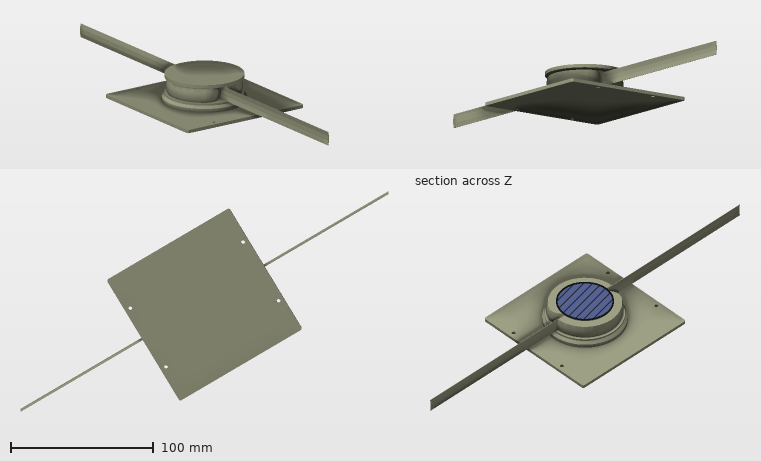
import cadquery as cq
import math

plate_side = 100.0
plate_thickness = 2.5
corner_radius = 1.5
hole_diameter = 2.8
hole_offset_x = 46.0
hole_offset_y = 24.3

flange_radius = 30
cap_radius = 56.0 / 2
flange_shoulder_z = 5.0
cone_top_z = 7.0
flange_top_z = 8.5

total_height = 22.0
cap_bottom_z = 19.5
hub_radius = 40.0 / 2

total_length = 300
tape_width = 10.0
tape_thickness = 0.3
tape_bow = 0.5
tape_back_y = tape_thickness / 2

coil_radius = 27
coil_bulge = 1.0
coil_bottom_z = flange_top_z
coil_top_z = coil_bottom_z + tape_width
coil_mid_z = (coil_bottom_z + coil_top_z) / 2

turn_radius = 9.5
turn_x = math.sqrt((coil_radius - turn_radius) ** 2 - turn_radius ** 2)
turn_y = -turn_radius


def make_plate():
    plate = cq.Workplane("XY").box(plate_side, plate_side, plate_thickness, centered=(True, True, False))
    plate = plate.edges("|Z").fillet(corner_radius)
    return (
        plate.faces(">Z").workplane()
        .rect(2 * hole_offset_x, 2 * hole_offset_y, forConstruction=True)
        .vertices()
        .hole(hole_diameter)
    )


def make_flange_hub_and_cap():
    profile = [
        (0, 0),
        (flange_radius, 0),
        (flange_radius, flange_shoulder_z),
        (cap_radius, cone_top_z),
        (cap_radius, flange_top_z),
        (hub_radius, flange_top_z),
        (hub_radius, cap_bottom_z),
        (cap_radius, cap_bottom_z),
        (cap_radius, total_height),
        (0, total_height),
    ]
    return cq.Workplane("XZ").polyline(profile).close().revolve(360, (0, 0), (0, 1))


def bowed_drum(end_radius, middle_radius):
    """Round drum over the coil height whose side is a bulging arc."""
    return (
        cq.Workplane("XZ")
        .moveTo(0, coil_bottom_z)
        .lineTo(end_radius, coil_bottom_z)
        .threePointArc((middle_radius, coil_mid_z), (end_radius, coil_top_z))
        .lineTo(0, coil_top_z)
        .close()
        .revolve(360, (0, 0), (0, 1))
    )


def make_coil():
    """Coil whose round side rolls over into the tape at two opposite places."""
    coil = bowed_drum(coil_radius - coil_bulge, coil_radius)
    turn = bowed_drum(turn_radius - coil_bulge, turn_radius).translate((turn_x, turn_y, 0))
    far_x = 2 * coil_radius
    far_y = far_x * turn_y / turn_x
    wedge = (
        cq.Workplane("XY")
        .polyline([(turn_x, tape_back_y), (turn_x, turn_y), (far_x, far_y), (far_x, tape_back_y)])
        .close()
        .extrude(total_height)
    )
    turn = turn.intersect(wedge)
    for angle in (0, 180):
        coil = coil.cut(wedge.rotate((0, 0, 0), (0, 0, 1), angle))
        coil = coil.union(turn.rotate((0, 0, 0), (0, 0, 1), angle))
    return coil


def make_tape():
    """Tape along +X, bowed towards +Y, with its middle strip centred on Y = 0."""
    edge_y = -tape_back_y - tape_bow
    facet_height = tape_width / 3
    side = [
        (edge_y, coil_bottom_z),
        (edge_y + tape_bow, coil_bottom_z + facet_height),
        (edge_y + tape_bow, coil_top_z - facet_height),
        (edge_y, coil_top_z),
    ]
    other_side = [(y + tape_thickness, z) for y, z in reversed(side)]
    return (
        cq.Workplane("YZ", origin=(turn_x, 0, 0))
        .polyline(side + other_side)
        .close()
        .extrude(total_length / 2 - turn_x)
    )


result = make_plate().union(make_flange_hub_and_cap()).union(make_coil())
for tape_angle in (0, 180):
    result = result.union(make_tape().rotate((0, 0, 0), (0, 0, 1), tape_angle))